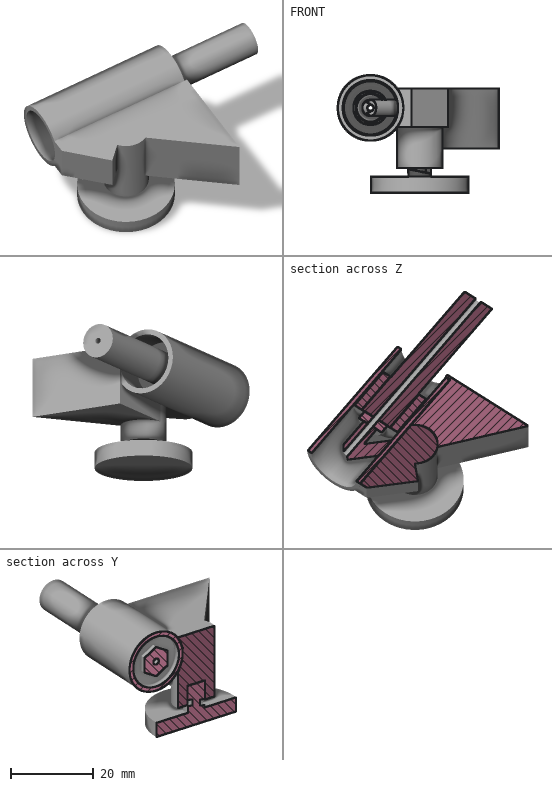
import cadquery as cq
import math

BARREL_DIAMETER = 16.0
BARREL_BORE = 13.5
BARREL_LENGTH = 37.0

AXIAL_HOLE = 1.5
PLUNGER_DIAMETER = 13.1
PLUNGER_FRONT = 17.2
PLUNGER_LENGTH = 11.85
SHAFT_DIAMETER = 8.35
SHAFT_END = 59.35
NUT_ACROSS_FLATS = 7.0
NUT_CHAMFER_DIAMETER = 6.75
NUT_FRONT = 14.85
JET_DIAMETER = 4.0
JET_TIP = 4.9
JET_CONE_LENGTH = 1.5
BRANCH_START = 5.05
BRANCH_ANGLE = 45.0

VALVE_X = 12.0
VALVE_Y = 17.05
VALVE_DIAMETER = 11.15
VALVE_BOTTOM = -14.7
BLOCK_TOP = 4.75
BLOCK_BOTTOM = -4.7
BLOCK_FRONT_WIDTH = 10.0
BLOCK_CORNER_DEPTH = 8.95
BLOCK_CORNER_X = BLOCK_FRONT_WIDTH + BLOCK_CORNER_DEPTH

WEDGE_LEFT = 6.5
WEDGE_TIP_X = 31.3
WEDGE_BACK = 37.7
WEDGE_TOE_X = 14.9
WEDGE_BOTTOM = -9.9

WHEEL_DIAMETER = 23.85
WHEEL_BOTTOM = -20.7
WHEEL_THICKNESS = 4.0
WHEEL_TOP = WHEEL_BOTTOM + WHEEL_THICKNESS
STEM_DIAMETER = 5.6
STEM_TOP = -9.5
GROOVE_ROOT_RADIUS = 1.55
GROOVE_FLOOR = -16.2
GROOVE_WIDTH = 1.55
GROOVE_PITCH = 2.85
GROOVE_TURNS = 1.0


def rod(diameter, front, back):
    """Solid cylinder along Y, centred on the barrel axis."""
    plane = cq.Workplane("XZ", origin=(0, front, 0))
    return plane.circle(diameter / 2).extrude(front - back)


def post(diameter, bottom, top):
    """Solid vertical cylinder on the valve axis."""
    plane = cq.Workplane("XY", origin=(VALVE_X, VALVE_Y, bottom))
    return plane.circle(diameter / 2).extrude(top - bottom)


def plate(points, bottom, top):
    """Polygon in X and Y, raised from bottom to top."""
    return cq.Workplane("XY", origin=(0, 0, bottom)).polyline(points).close().extrude(top - bottom)


def make_barrel():
    """Plain tube, open at both ends."""
    return rod(BARREL_DIAMETER, 0, BARREL_LENGTH).cut(rod(BARREL_BORE, 0, BARREL_LENGTH))


def make_nut():
    """Hexagonal nut with points up and down and a conical chamfer on its front face."""
    points_diameter = NUT_ACROSS_FLATS / math.cos(math.pi / 6)
    length = PLUNGER_FRONT - NUT_FRONT
    hexagon = (
        cq.Workplane("XZ", origin=(0, PLUNGER_FRONT, 0))
        .transformed(rotate=(0, 0, 90))
        .polygon(6, points_diameter)
        .extrude(length)
    )
    chamfer = (points_diameter - NUT_CHAMFER_DIAMETER) / 2
    envelope = rod(points_diameter, NUT_FRONT, PLUNGER_FRONT).faces("<Y").chamfer(chamfer)
    return hexagon.intersect(envelope).cut(rod(AXIAL_HOLE, NUT_FRONT, PLUNGER_FRONT))


def make_plunger():
    """Ring that runs with clearance in the barrel and carries the shaft."""
    back = PLUNGER_FRONT + PLUNGER_LENGTH
    return rod(PLUNGER_DIAMETER, PLUNGER_FRONT, back).cut(rod(SHAFT_DIAMETER, PLUNGER_FRONT, back))


def make_shaft():
    """Hollow shaft that starts flush with the plunger and leaves the back of the barrel."""
    shaft = rod(SHAFT_DIAMETER, PLUNGER_FRONT, SHAFT_END)
    return shaft.cut(rod(AXIAL_HOLE, PLUNGER_FRONT, SHAFT_END))


def make_jet():
    """Conical jet with a side branch that slants back to the barrel wall."""
    profile = [
        (0, JET_TIP),
        (AXIAL_HOLE / 2, JET_TIP),
        (JET_DIAMETER / 2, JET_TIP + JET_CONE_LENGTH),
        (JET_DIAMETER / 2, NUT_FRONT),
        (0, NUT_FRONT),
    ]
    cone = cq.Workplane("XY").polyline(profile).close().revolve(360, (0, 0, 0), (0, 1, 0))
    angle = math.radians(BRANCH_ANGLE)
    direction = (math.sin(angle), math.cos(angle), 0)
    start = cq.Plane(origin=(0, BRANCH_START, 0), xDir=(0, 0, 1), normal=direction)
    branch = cq.Workplane(start).circle(JET_DIAMETER / 2).extrude(BARREL_DIAMETER)
    branch = branch.intersect(rod(BARREL_BORE, 0, NUT_FRONT))
    return cone.union(branch).cut(rod(AXIAL_HOLE, 0, NUT_FRONT))


def make_stem_groove():
    """Left-hand helical groove that starts on the +X side of the stem."""
    middle = (GROOVE_ROOT_RADIUS + STEM_DIAMETER) / 2
    depth = STEM_DIAMETER - GROOVE_ROOT_RADIUS
    helix = cq.Wire.makeHelix(
        GROOVE_PITCH, GROOVE_PITCH * GROOVE_TURNS, STEM_DIAMETER / 2, lefthand=True
    )
    section = cq.Workplane("XZ").center(middle, GROOVE_WIDTH / 2).rect(depth, GROOVE_WIDTH)
    groove = section.sweep(cq.Workplane(obj=helix), isFrenet=True)
    return groove.translate((VALVE_X, VALVE_Y, GROOVE_FLOOR))


def make_handwheel():
    """Disc with a grooved stem in one piece."""
    wheel = post(WHEEL_DIAMETER, WHEEL_BOTTOM, WHEEL_TOP)
    stem = post(STEM_DIAMETER, WHEEL_TOP, STEM_TOP).cut(make_stem_groove())
    return wheel.union(stem)


def make_valve_body():
    """Valve cylinder joined to a block with a 45 degree front side and a square corner."""
    outline = [
        (0, 0),
        (BLOCK_FRONT_WIDTH, 0),
        (BLOCK_CORNER_X, BLOCK_CORNER_DEPTH),
        (BLOCK_CORNER_X + BLOCK_CORNER_DEPTH - VALVE_Y, VALVE_Y),
        (0, VALVE_Y),
    ]
    block = plate(outline, BLOCK_BOTTOM, BLOCK_TOP)
    body = block.union(post(VALVE_DIAMETER, VALVE_BOTTOM, BLOCK_TOP))
    body = body.cut(rod(BARREL_DIAMETER, 0, BARREL_LENGTH))
    return body.cut(post(STEM_DIAMETER, VALVE_BOTTOM, STEM_TOP))


def make_wedge():
    """Triangular plate hollowed to fit the valve cylinder and the barrel."""
    outline = [
        (WEDGE_LEFT, VALVE_Y),
        (WEDGE_LEFT, WEDGE_BACK),
        (WEDGE_TIP_X, WEDGE_BACK),
        (WEDGE_TOE_X, VALVE_Y),
    ]
    wedge = plate(outline, WEDGE_BOTTOM, BLOCK_TOP)
    wedge = wedge.cut(post(VALVE_DIAMETER, VALVE_BOTTOM, BLOCK_TOP))
    return wedge.cut(rod(BARREL_DIAMETER, 0, BARREL_LENGTH))


bodies = [
    make_barrel(),
    make_plunger(),
    make_shaft(),
    make_nut(),
    make_jet(),
    make_valve_body(),
    make_wedge(),
    make_handwheel(),
]
result = cq.Compound.makeCompound([body.val() for body in bodies])